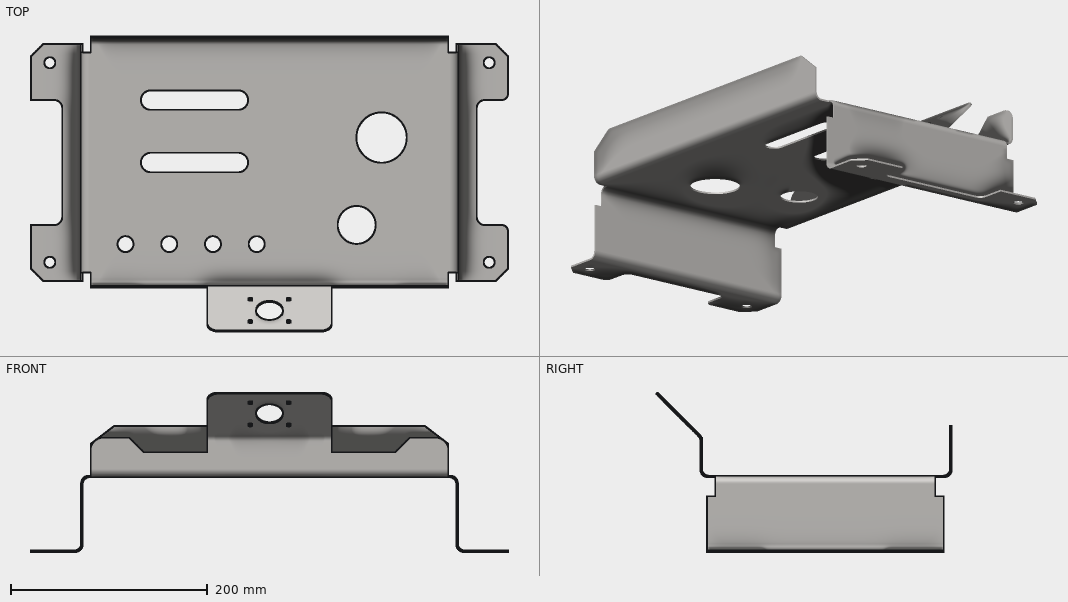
import cadquery as cq
import math

thickness = 1.9
inner_bend = 6.35
outer_bend = inner_bend + thickness

overall_length = 485.44
overall_depth = 300.81
overall_height = 162.46

tray_length = 364.0
tray_depth = 256.0
floor_top = 78.0
floor_bottom = floor_top - thickness
rear_y = 128.7
front_y = rear_y - tray_depth
rear_wall_top = 128.5
rear_chamfer_x = 24.0
rear_chamfer_z = 18.3
front_wall_top = 101.5
ear_top = 116.5
ear_top_length = 39.3
ear_corner_radius = 12.7

tab_width = 127.0
tab_angle = 45.0
tab_corner_radius = 11.0
tab_hole_diameter = 27.5
tab_hole_from_tip = 28.9
tab_screw_diameter = 4.4
tab_screw_spacing_x = 39.0
tab_screw_spacing_slope = 32.0

leg_outer_x = 191.8
leg_width = 241.2
leg_neck_width = 224.0
neck_bottom = 57.0
foot_tip_x = overall_length / 2
foot_chamfer = 12.5
foot_notch_width = 127.0
foot_notch_x = 211.0
foot_notch_radius = 8.0
foot_toe_radius = 6.4
foot_hole_diameter = 11.0
foot_hole_x = 223.5
foot_hole_y = 101.5

large_hole_diameter = 51.0
large_hole_center = (114.0, 25.4)
medium_hole_diameter = 38.4
medium_hole_center = (88.7, -63.5)
row_hole_diameter = 16.0
row_hole_count = 4
row_hole_start = (-146.5, -83.0)
row_hole_pitch = 44.5
slot_length = 108.8
slot_width = 19.5
slot_center_x = -76.3
slot_center_ys = (0.0, 63.5)


def extrude_along_x(points, width):
    """Extrude a YZ outline symmetrically about X = 0."""
    return cq.Workplane("YZ").polyline(points).close().extrude(width / 2, both=True)


def extrude_along_y(points, width):
    """Extrude an XZ outline symmetrically about Y = 0."""
    return cq.Workplane("XZ").polyline(points).close().extrude(width / 2, both=True)


def round_fold(sheet, inner_corner, outer_corner):
    """Round the inside and outside edge of one fold."""
    sheet = sheet.edges(cq.NearestToPointSelector(inner_corner)).fillet(inner_bend)
    return sheet.edges(cq.NearestToPointSelector(outer_corner)).fillet(outer_bend)


def floor_cutter(diameter, centers):
    """Vertical cylinders passing through the floor only."""
    floor_plane = cq.Workplane("XY", origin=(0, 0, floor_bottom))
    return floor_plane.pushPoints(centers).circle(diameter / 2).extrude(thickness)


def make_tray():
    tray = extrude_along_x(
        [
            (front_y, floor_bottom),
            (rear_y, floor_bottom),
            (rear_y, rear_wall_top),
            (rear_y - thickness, rear_wall_top),
            (rear_y - thickness, floor_top),
            (front_y + thickness, floor_top),
            (front_y + thickness, front_wall_top),
            (front_y, front_wall_top),
        ],
        tray_length,
    )
    for side, wall_y in ((1, front_y), (-1, rear_y)):
        inner_corner = (0, wall_y + side * thickness, floor_top)
        tray = round_fold(tray, inner_corner, (0, wall_y, floor_bottom))

    for side in (-1, 1):
        end_x = side * tray_length / 2
        corner = (
            cq.Workplane("XZ", origin=(0, rear_y, 0))
            .moveTo(end_x, rear_wall_top)
            .lineTo(end_x - side * rear_chamfer_x, rear_wall_top)
            .lineTo(end_x, rear_wall_top - rear_chamfer_z)
            .close()
            .extrude(thickness)
        )
        tray = tray.cut(corner)
    return tray


def make_ear(side):
    """Raised end of the front wall, sloping down at 45 degrees toward the middle."""
    end_x = side * tray_length / 2
    crest_x = end_x - side * ear_top_length
    foot_x = crest_x - side * (ear_top - front_wall_top)
    return (
        cq.Workplane("XZ", origin=(0, front_y + thickness, 0))
        .moveTo(foot_x, front_wall_top)
        .lineTo(end_x, front_wall_top)
        .lineTo(end_x, ear_top - ear_corner_radius)
        .radiusArc((end_x - side * ear_corner_radius, ear_top), -side * ear_corner_radius)
        .lineTo(crest_x, ear_top)
        .close()
        .extrude(thickness)
    )


def make_tab():
    slope = math.radians(tab_angle)
    out_y, out_z = -math.sin(slope), math.cos(slope)
    normal_y, normal_z = math.cos(slope), math.sin(slope)
    tip_y = rear_y - overall_depth
    tip_z = overall_height - thickness * normal_z
    fold_z = tip_z - (front_y - tip_y) / math.tan(slope)
    back_fold_z = fold_z + thickness * math.tan(slope / 2)
    tab = extrude_along_x(
        [
            (front_y, front_wall_top),
            (front_y, fold_z),
            (tip_y, tip_z),
            (tip_y + thickness * normal_y, overall_height),
            (front_y + thickness, back_fold_z),
            (front_y + thickness, front_wall_top),
        ],
        tab_width,
    )
    tab = round_fold(tab, (0, front_y, fold_z), (0, front_y + thickness, back_fold_z))

    for side in (-1, 1):
        tip_corner = (
            side * tab_width / 2,
            tip_y + thickness * normal_y / 2,
            tip_z + thickness * normal_z / 2,
        )
        tab = tab.edges(cq.NearestToPointSelector(tip_corner)).fillet(tab_corner_radius)

    hole_center = (0, tip_y - tab_hole_from_tip * out_y, tip_z - tab_hole_from_tip * out_z)
    face = cq.Workplane(cq.Plane(hole_center, xDir=(1, 0, 0), normal=(0, normal_y, normal_z)))
    main_hole = face.circle(tab_hole_diameter / 2).extrude(thickness)
    screw_holes = (
        face.rect(tab_screw_spacing_x, tab_screw_spacing_slope, forConstruction=True)
        .vertices()
        .circle(tab_screw_diameter / 2)
        .extrude(thickness)
    )
    return tab.cut(main_hole).cut(screw_holes)


def make_leg(side):
    """Z-shaped strip: floor strip, fold down, vertical leg, fold out to the foot."""
    outer_x = side * leg_outer_x
    inner_x = side * (leg_outer_x - thickness)
    strip_x = side * (tray_length / 2 - outer_bend)
    tip_x = side * foot_tip_x
    leg = extrude_along_y(
        [
            (strip_x, floor_top),
            (outer_x, floor_top),
            (outer_x, thickness),
            (tip_x, thickness),
            (tip_x, 0),
            (inner_x, 0),
            (inner_x, floor_bottom),
            (strip_x, floor_bottom),
        ],
        leg_width,
    )
    leg = round_fold(leg, (inner_x, 0, floor_bottom), (outer_x, 0, floor_top))
    leg = round_fold(leg, (outer_x, 0, thickness), (inner_x, 0, 0))

    neck_step = (leg_width - leg_neck_width) / 2
    for end in (-1, 1):
        relief = cq.Workplane("XY").box(
            leg_outer_x, neck_step, floor_top - neck_bottom, centered=(True, True, False)
        )
        relief_y = end * (leg_width - neck_step) / 2
        leg = leg.cut(relief.translate((outer_x, relief_y, neck_bottom)))

    notch_depth = foot_tip_x - foot_notch_x
    notch = (
        cq.Workplane("XY")
        .box(2 * notch_depth, foot_notch_width, thickness, centered=(True, True, False))
        .edges("|Z")
        .fillet(foot_notch_radius)
    )
    leg = leg.cut(notch.translate((tip_x, 0, 0)))

    for end in (-1, 1):
        outside_corner = (tip_x, end * leg_width / 2, thickness / 2)
        leg = leg.edges(cq.NearestToPointSelector(outside_corner)).chamfer(foot_chamfer)
        if side > 0:
            toe_corner = (tip_x, end * foot_notch_width / 2, thickness / 2)
            leg = leg.edges(cq.NearestToPointSelector(toe_corner)).fillet(foot_toe_radius)

    hole_centers = [(side * foot_hole_x, end * foot_hole_y) for end in (-1, 1)]
    holes = (
        cq.Workplane("XY").pushPoints(hole_centers).circle(foot_hole_diameter / 2).extrude(thickness)
    )
    return leg.cut(holes)


def make_floor_openings():
    row_x, row_y = row_hole_start
    row_centers = [(row_x + i * row_hole_pitch, row_y) for i in range(row_hole_count)]
    slots = (
        cq.Workplane("XY", origin=(0, 0, floor_bottom))
        .pushPoints([(slot_center_x, y) for y in slot_center_ys])
        .slot2D(slot_length, slot_width)
        .extrude(thickness)
    )
    return (
        slots.union(floor_cutter(large_hole_diameter, [large_hole_center]))
        .union(floor_cutter(medium_hole_diameter, [medium_hole_center]))
        .union(floor_cutter(row_hole_diameter, row_centers))
    )


bracket = make_tray().cut(make_floor_openings()).union(make_tab())
for side in (-1, 1):
    bracket = bracket.union(make_ear(side)).union(make_leg(side))

result = bracket.clean()